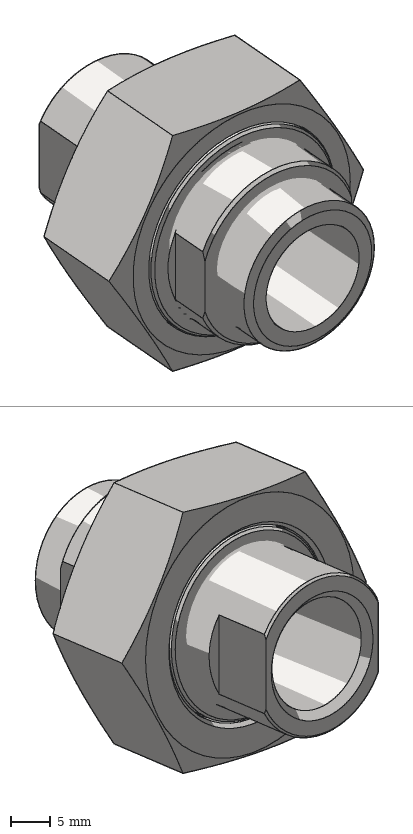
import cadquery as cq
import math

length = 44.0
bore_dia = 15.2

nut_start = 13.95
nut_end = 29.5
nut_across_flats = 36.0
nut_face_dia = 35.45
nut_chamfer_angle = 20.0
nut_lip_bore_dia = 26.5
nut_lip_chamfer = 0.55
nut_thread_dia = 30.35
nut_lip_thickness = 2.85

tail_dia = 22.0
tail_end_chamfer = 0.3
tail_mouth_dia = 17.3
tail_mouth_angle = 45.0
tail_fillet = 0.5
collar_start = 14.0
collar_dia = 26.0
collar_chamfer = 0.35
flange_thickness = 2.2
tail_flats_width = 19.1
tail_flats_end = 9.0

thread_dia = 30.0
thread_end = 30.05
thread_chamfer = 0.35
shoulder_dia = 26.0
shoulder_end = 36.95
shoulder_chamfer = 0.45
shoulder_flats_start = 30.95
shoulder_flats_width = 23.95
spigot_dia = 21.3
spigot_chamfer_length = 0.7
spigot_chamfer_depth = 1.0
step_fillet = 0.8

flat_runout_angle = 12.0

bore_radius = bore_dia / 2
thread_radius = thread_dia / 2
flange_start = nut_start + nut_lip_thickness
joint_x = flange_start + flange_thickness


def revolve_about_x(profile):
    """Turn a closed (x, radius) profile around the X axis."""
    return profile.close().revolve(360, (0, 0, 0), (1, 0, 0))


def cut_wrench_flats(body, floor_x, open_x, width, outer_dia):
    """Cut two flats facing +Y and -Y, from a leaning wall at floor_x to open_x."""
    half_width = width / 2
    top = outer_dia / 2 + step_fillet
    runout = (top - half_width) * math.tan(math.radians(flat_runout_angle))
    wall_top_x = floor_x + math.copysign(runout, floor_x - open_x)
    cutter = (
        cq.Workplane("XY")
        .moveTo(floor_x, half_width)
        .lineTo(wall_top_x, top)
        .lineTo(open_x, top)
        .lineTo(open_x, half_width)
        .close()
        .extrude(outer_dia / 2, both=True)
    )
    return body.cut(cutter).cut(cutter.mirror("XZ"))


def fillet_arc(profile, end_x, end_radius, radius, x_sign):
    """Draw a concave quarter arc to the given end point.

    With x_sign -1 it climbs from a cylinder into a face on its right;
    with x_sign +1 it drops from a face to the cylinder on its right.
    """
    middle_offset = radius * (1 - math.sqrt(0.5))
    if x_sign < 0:
        middle = (end_x - middle_offset, end_radius - radius + middle_offset)
    else:
        middle = (end_x - radius + middle_offset, end_radius + middle_offset)
    return profile.threePointArc(middle, (end_x, end_radius))


def make_nut():
    corner_radius = nut_across_flats / 2 / math.cos(math.pi / 6)
    face_radius = nut_face_dia / 2
    chamfer_length = (corner_radius - face_radius) * math.tan(math.radians(nut_chamfer_angle))
    prism = (
        cq.Workplane("YZ")
        .workplane(offset=nut_start)
        .polygon(6, 2 * corner_radius)
        .extrude(nut_end - nut_start)
    )
    lip_radius = nut_lip_bore_dia / 2
    thread_bore_radius = nut_thread_dia / 2
    envelope = revolve_about_x(
        cq.Workplane("XY")
        .moveTo(nut_start, lip_radius + nut_lip_chamfer)
        .lineTo(nut_start, face_radius)
        .lineTo(nut_start + chamfer_length, corner_radius)
        .lineTo(nut_end - chamfer_length, corner_radius)
        .lineTo(nut_end, face_radius)
        .lineTo(nut_end, thread_bore_radius)
        .lineTo(flange_start, thread_bore_radius)
        .lineTo(flange_start, lip_radius)
        .lineTo(nut_start + nut_lip_chamfer, lip_radius)
    )
    return prism.intersect(envelope)


def make_tail():
    tail_radius = tail_dia / 2
    collar_radius = collar_dia / 2
    mouth_radius = tail_mouth_dia / 2
    mouth_depth = (mouth_radius - bore_radius) / math.tan(math.radians(tail_mouth_angle))
    profile = (
        cq.Workplane("XY")
        .moveTo(mouth_depth, bore_radius)
        .lineTo(0, mouth_radius)
        .lineTo(0, tail_radius - tail_end_chamfer)
        .lineTo(tail_end_chamfer, tail_radius)
        .lineTo(collar_start - tail_fillet, tail_radius)
    )
    profile = fillet_arc(profile, collar_start, tail_radius + tail_fillet, tail_fillet, -1)
    profile = (
        profile.lineTo(collar_start, collar_radius - collar_chamfer)
        .lineTo(collar_start + collar_chamfer, collar_radius)
        .lineTo(flange_start, collar_radius)
        .lineTo(flange_start, thread_radius)
        .lineTo(joint_x, thread_radius)
        .lineTo(joint_x, bore_radius)
    )
    return cut_wrench_flats(revolve_about_x(profile), tail_flats_end, 0, tail_flats_width, tail_dia)


def make_threaded_piece():
    shoulder_radius = shoulder_dia / 2
    spigot_radius = spigot_dia / 2
    profile = (
        cq.Workplane("XY")
        .moveTo(joint_x, bore_radius)
        .lineTo(joint_x, thread_radius)
        .lineTo(thread_end - thread_chamfer, thread_radius)
        .lineTo(thread_end, thread_radius - thread_chamfer)
        .lineTo(thread_end, shoulder_radius + step_fillet)
    )
    profile = fillet_arc(profile, thread_end + step_fillet, shoulder_radius, step_fillet, 1)
    profile = (
        profile.lineTo(shoulder_end - shoulder_chamfer, shoulder_radius)
        .lineTo(shoulder_end, shoulder_radius - shoulder_chamfer)
        .lineTo(shoulder_end, spigot_radius + step_fillet)
    )
    profile = fillet_arc(profile, shoulder_end + step_fillet, spigot_radius, step_fillet, 1)
    profile = (
        profile.lineTo(length - spigot_chamfer_length, spigot_radius)
        .lineTo(length, spigot_radius - spigot_chamfer_depth)
        .lineTo(length, bore_radius)
    )
    body = revolve_about_x(profile)
    return cut_wrench_flats(body, shoulder_flats_start, shoulder_end, shoulder_flats_width, shoulder_dia)


nut = make_nut()
tail = make_tail()
threaded_piece = make_threaded_piece()

result = cq.Compound.makeCompound([nut.val(), tail.val(), threaded_piece.val()])